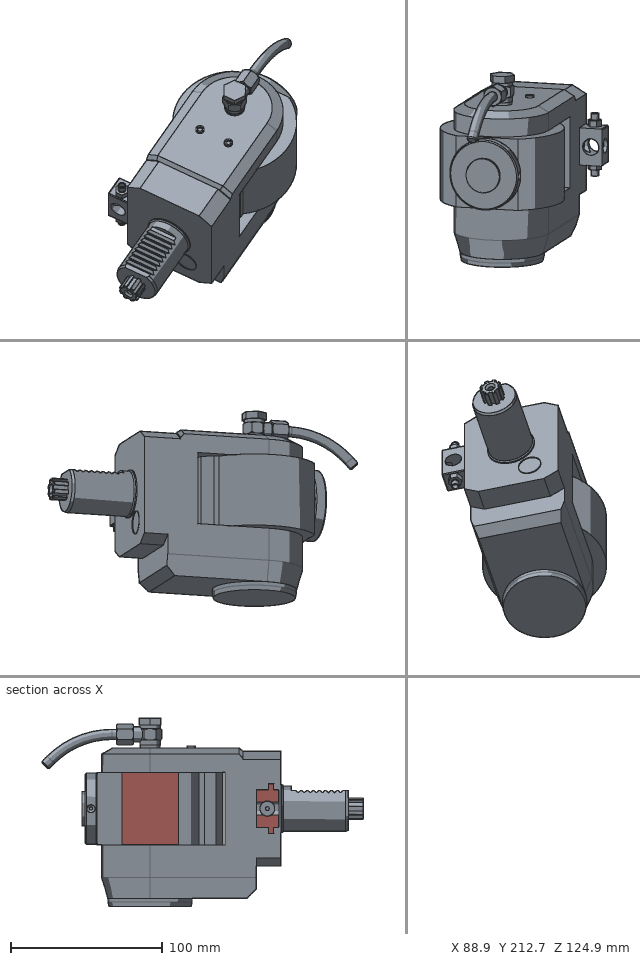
import cadquery as cq
import math


half_width = 32.1
top_z = 40.2
top_flat_half_width = 24.9
top_bevel_z = 36.2
taper_start_z = -45.7
bottom_z = -59.3
bottom_half_width = 28.0
step_start_y = -59.0
step_end_y = -61.5
lower_front_y = -70.5
lower_front_chamfer = 6.2

front_y = -86.5
block_half_height = 38.0
block_bevel_z = 32.5
block_flat_half_width = 22.5
step_lip_z = 33.4
step_lip_flat_half_width = 24.0

plug_x = 12.5
plug_z = -21.7
plug_radius = 7.7
plug_depth = 0.6

slot_half_height = 24.0
slot_front_y = -49.5
carrier_radius = 41.0
carrier_rear_y = 35.0
carrier_edge_y = -32.5
carrier_shoulder_y = -36.0
carrier_bend_y = -43.5
carrier_bend_half_width = 20.2
carrier_nose_y = -48.3
carrier_nose_half_width = 8.5

flange_radius = 23.6
flange_rear_y = 43.0
flange_chamfer = 0.9
hub_radius = 11.5
hub_rear_y = 45.0
flange_hole_y = 39.1
flange_hole_radius = 2.8
flange_hole_bottom_radius = 1.0

cover_radius = 27.9
cover_lower_radius = 27.2
cover_edge_z = -61.9
cover_bottom_z = -64.9

shank_radius = 15.0
shank_end_y = -131.2
shank_chamfer_length = 2.0
shank_end_radius = 14.5
collar_radius = 16.0
collar_straight = 0.9
collar_length = 1.7
flat_z = 12.1
flat_start_y = -93.5
tooth_count = 8
tooth_row_length = 28.0
tooth_pitch = tooth_row_length / (tooth_count - 1)
tooth_depth = 1.5
tooth_half_width = 1.7
first_tooth_y = -98.0

spline_end_y = -141.2
spline_tip_radius = 7.2
spline_root_radius = 5.5
spline_count = 8
spline_groove_width = 3.0
spline_chamfer = 0.5
bore_radius = 2.0
bore_mouth_radius = 3.5
bore_depth = 4.3

coolant_left_x = -47.9
coolant_rear_y = -70.5
coolant_front_y = -85.3
coolant_half_height = 12.5
coolant_chamfer = 0.6
coolant_hole_x = -40.0
coolant_hole_radius = 5.5
side_port_y = -77.6
side_port_radius = 4.9
feed_hole_radius = 1.3
feed_hole_depth = 1.3
nipple_y = -80.2
nipple_nut_corner_radius = 4.7
nipple_nut_height = 4.0
nipple_radius = 2.5
nipple_end_z = 21.0
nipple_bore_radius = 2.0
nipple_bore_depth = 4.3

post_foot_radius = 6.5
post_radius = 6.8
post_ring_z = 42.1
elbow_bottom_z = 45.3
elbow_top_z = 53.0
elbow_corner_radius = 7.9
cap_bottom_z = 55.3
cap_top_z = 60.0
cap_corner_radius = 8.3
hose_z = 49.1
elbow_neck_radius = 5.0
hose_nut_start_y = 10.8
hose_nut_end_y = 22.3
hose_nut_corner_radius = 7.0
hose_radius = 3.5
hose_bend_start_y = 25.0
hose_bend_radius = 57.5
hose_bend_angle = math.radians(45)
hose_tip_length = 5.5
hose_tip_chamfer = 0.79
nut_corner_bevel = 0.95

screw_x = 10.8
screw_y = -27.2
screw_radius = 2.8
screw_height = 1.3
screw_socket_corner_radius = 2.0


def plane_along_y(y, x=0, z=0):
    """Workplane across the Y axis; extruding from it goes toward -Y."""
    return cq.Workplane("XZ", origin=(x, y, z))


def cylinder_along_y(radius, rear_y, front_y, x=0, z=0):
    return plane_along_y(rear_y, x, z).circle(radius).extrude(rear_y - front_y)


def cylinder_along_z(radius, low_z, high_z, x=0, y=0):
    return cq.Workplane("XY", origin=(x, y, low_z)).circle(radius).extrude(high_z - low_z)


def hexagon(corner_radius, first_corner_angle):
    angles = [math.radians(first_corner_angle + 60 * i) for i in range(6)]
    return [(corner_radius * math.cos(a), corner_radius * math.sin(a)) for a in angles]


def corner_bevel_cutter(corner_radius, length):
    """Bevelled cylinder that trims the corners of a hexagonal nut at both ends."""
    return cq.Workplane("XY").circle(corner_radius).extrude(length).edges().chamfer(nut_corner_bevel)


def arch_section(y, flat_half_width, bevel_z, crest_z):
    """Upper half of a cross-section, from z = 0 to a bevelled crest."""
    points = [
        (-half_width, 0),
        (-half_width, bevel_z),
        (-flat_half_width, crest_z),
        (flat_half_width, crest_z),
        (half_width, bevel_z),
        (half_width, 0),
    ]
    return plane_along_y(y).polyline(points).close()


def make_housing():
    rear = (
        cq.Workplane("XZ")
        .polyline([
            (0, top_z),
            (top_flat_half_width, top_z),
            (half_width, top_bevel_z),
            (half_width, taper_start_z),
            (bottom_half_width, bottom_z),
            (0, bottom_z),
        ])
        .close()
        .revolve(360, (0, 0, 0), (0, 1, 0))
    )
    upper = arch_section(0, top_flat_half_width, top_bevel_z, top_z).extrude(-step_start_y)
    step_sections = [
        arch_section(step_start_y, top_flat_half_width, top_bevel_z, top_z).wire().val(),
        arch_section(step_end_y, step_lip_flat_half_width, step_lip_z, block_half_height).wire().val(),
    ]
    step = cq.Workplane(cq.Solid.makeLoft(step_sections, True))
    lower = (
        plane_along_y(0)
        .polyline([
            (-half_width, 0),
            (half_width, 0),
            (half_width, taper_start_z),
            (bottom_half_width, bottom_z),
            (-bottom_half_width, bottom_z),
            (-half_width, taper_start_z),
        ])
        .close()
        .extrude(-lower_front_y)
        .faces("<Z").edges("<Y").chamfer(lower_front_chamfer)
    )
    block_half = arch_section(step_end_y, block_flat_half_width, block_bevel_z, block_half_height)
    block_upper = block_half.extrude(step_end_y - front_y)
    block = block_upper.union(block_upper.mirror("XY"))
    plug = cylinder_along_y(plug_radius, front_y + plug_depth, front_y, plug_x, plug_z)
    return rear.union(upper).union(step).union(lower).union(block).cut(plug)


def cut_carrier_slot(housing):
    slot_length = half_width - slot_front_y
    slot = cq.Workplane("XY").box(2 * half_width, slot_length, 2 * slot_half_height).translate(
        (0, slot_front_y + slot_length / 2, 0)
    )
    return housing.cut(slot)


def cut_feed_hole(housing):
    """Small feed hole in the housing side, at the bottom of the coolant block's side port."""
    feed_hole = (
        cq.Workplane("YZ", origin=(-half_width, side_port_y, 0))
        .circle(feed_hole_radius)
        .extrude(feed_hole_depth)
    )
    return housing.cut(feed_hole)


def make_carrier():
    rear_x = math.sqrt(carrier_radius**2 - carrier_rear_y**2)
    edge_x = math.sqrt(carrier_radius**2 - carrier_edge_y**2)
    carrier = (
        cq.Workplane("XY", origin=(0, 0, -slot_half_height))
        .moveTo(-rear_x, carrier_rear_y)
        .lineTo(rear_x, carrier_rear_y)
        .threePointArc((carrier_radius, 0), (edge_x, carrier_edge_y))
        .lineTo(edge_x, carrier_shoulder_y)
        .lineTo(carrier_bend_half_width, carrier_bend_y)
        .lineTo(carrier_nose_half_width, carrier_nose_y)
        .lineTo(-carrier_nose_half_width, carrier_nose_y)
        .lineTo(-carrier_bend_half_width, carrier_bend_y)
        .lineTo(-edge_x, carrier_shoulder_y)
        .lineTo(-edge_x, carrier_edge_y)
        .threePointArc((-carrier_radius, 0), (-rear_x, carrier_rear_y))
        .close()
        .extrude(2 * slot_half_height)
    )
    flange = cylinder_along_y(flange_radius, flange_rear_y, carrier_rear_y).edges().chamfer(flange_chamfer)
    hub = cylinder_along_y(hub_radius, hub_rear_y, flange_rear_y)
    flange_hole = cq.Workplane(
        cq.Solid.makeCone(
            flange_hole_radius,
            flange_hole_bottom_radius,
            flange_hole_radius - flange_hole_bottom_radius,
            pnt=cq.Vector(-flange_radius, flange_hole_y, 0),
            dir=cq.Vector(1, 0, 0),
        )
    )
    return carrier.union(flange).union(hub).cut(flange_hole)


def make_cover():
    return (
        cq.Workplane("XZ")
        .polyline([
            (0, bottom_z),
            (cover_radius, bottom_z),
            (cover_radius, cover_edge_z),
            (cover_lower_radius, cover_bottom_z),
            (0, cover_bottom_z),
        ])
        .close()
        .revolve(360, (0, 0, 0), (0, 1, 0))
    )


def make_shank():
    shank = (
        cq.Workplane("XY")
        .polyline([
            (0, front_y),
            (collar_radius, front_y),
            (collar_radius, front_y - collar_straight),
            (shank_radius, front_y - collar_length),
            (shank_radius, shank_end_y + shank_chamfer_length),
            (shank_end_radius, shank_end_y),
            (0, shank_end_y),
        ])
        .close()
        .revolve(360, (0, 0, 0), (0, 1, 0))
    )
    flat_cutter = (
        cq.Workplane("YZ", origin=(-shank_radius, 0, 0))
        .moveTo(flat_start_y, shank_radius)
        .lineTo(flat_start_y, flat_z)
    )
    for i in range(tooth_count):
        tooth_y = first_tooth_y - i * tooth_pitch
        flat_cutter = (
            flat_cutter
            .lineTo(tooth_y + tooth_half_width, flat_z)
            .lineTo(tooth_y, flat_z - tooth_depth)
            .lineTo(tooth_y - tooth_half_width, flat_z)
        )
    flat_cutter = (
        flat_cutter
        .lineTo(shank_end_y, flat_z)
        .lineTo(shank_end_y, shank_radius)
        .close()
        .extrude(2 * shank_radius)
    )
    return shank.cut(flat_cutter)


def make_spline():
    spline = (
        cylinder_along_y(spline_tip_radius, shank_end_y, spline_end_y)
        .faces("<Y").chamfer(spline_chamfer)
    )
    length = shank_end_y - spline_end_y
    groove = plane_along_y(shank_end_y, z=spline_root_radius + spline_tip_radius / 2).rect(
        spline_groove_width, spline_tip_radius
    ).extrude(length)
    for i in range(spline_count):
        spline = spline.cut(groove.rotate((0, 0, 0), (0, 1, 0), 360 / spline_count * i))
    mouth_depth = bore_mouth_radius - bore_radius
    bore = (
        cq.Workplane("XY")
        .polyline([
            (0, spline_end_y),
            (bore_mouth_radius, spline_end_y),
            (bore_radius, spline_end_y + mouth_depth),
            (bore_radius, spline_end_y + bore_depth),
            (0, spline_end_y + bore_depth),
        ])
        .close()
        .revolve(360, (0, 0, 0), (0, 1, 0))
    )
    return spline.cut(bore)


def make_nipple():
    """Upper hexagonal nut with its hollow nipple."""
    nut = (
        cq.Workplane("XY", origin=(coolant_hole_x, nipple_y, coolant_half_height))
        .polyline(hexagon(nipple_nut_corner_radius, 0))
        .close()
        .extrude(nipple_nut_height)
    )
    tube = cylinder_along_z(nipple_radius, coolant_half_height, nipple_end_z, coolant_hole_x, nipple_y)
    bore = cylinder_along_z(
        nipple_bore_radius, nipple_end_z - nipple_bore_depth, nipple_end_z, coolant_hole_x, nipple_y
    )
    return nut.union(tube).cut(bore)


def make_coolant_block():
    width = -half_width - coolant_left_x
    length = coolant_rear_y - coolant_front_y
    block = (
        cq.Workplane("XY")
        .box(width, length, 2 * coolant_half_height)
        .translate((-half_width - width / 2, coolant_rear_y - length / 2, 0))
        .edges("|X and <Y or |Z and <X and <Y or |Y and <X").chamfer(coolant_chamfer)
    )
    through_hole = cylinder_along_y(coolant_hole_radius, coolant_rear_y, coolant_front_y, coolant_hole_x)
    side_port = (
        cq.Workplane("YZ", origin=(coolant_left_x, side_port_y, 0))
        .circle(side_port_radius)
        .extrude(width)
    )
    nipple = make_nipple()
    return block.cut(through_hole).cut(side_port).union(nipple).union(nipple.mirror("XY"))


def make_elbow():
    foot = cylinder_along_z(post_foot_radius, top_z, cap_bottom_z)
    ring = cylinder_along_z(post_radius, post_ring_z, elbow_bottom_z)
    collar = cylinder_along_z(post_radius, elbow_top_z, cap_bottom_z)
    elbow_height = elbow_top_z - elbow_bottom_z
    elbow = (
        cq.Workplane("XY")
        .polyline(hexagon(elbow_corner_radius, 30))
        .close()
        .extrude(elbow_height)
        .intersect(corner_bevel_cutter(elbow_corner_radius, elbow_height))
        .translate((0, 0, elbow_bottom_z))
    )
    cap = (
        cq.Workplane("XY", origin=(0, 0, cap_bottom_z))
        .polyline(hexagon(cap_corner_radius, 0))
        .close()
        .extrude(cap_top_z - cap_bottom_z)
    )
    neck = cylinder_along_y(elbow_neck_radius, hose_nut_start_y, 0, z=hose_z)
    nut_length = hose_nut_end_y - hose_nut_start_y
    nut = (
        cq.Workplane("XY")
        .polyline(hexagon(hose_nut_corner_radius, 30))
        .close()
        .extrude(nut_length)
        .intersect(corner_bevel_cutter(hose_nut_corner_radius, nut_length))
        .rotate((0, 0, 0), (1, 0, 0), 90)
        .translate((0, hose_nut_end_y, hose_z))
    )
    return foot.union(ring).union(collar).union(elbow).union(cap).union(neck).union(nut)


def make_hose():
    def bend_point(angle):
        return (
            hose_bend_start_y + hose_bend_radius * math.sin(angle),
            hose_z - hose_bend_radius * (1 - math.cos(angle)),
        )

    bend_end = bend_point(hose_bend_angle)
    tip = (
        bend_end[0] + hose_tip_length * math.cos(hose_bend_angle),
        bend_end[1] - hose_tip_length * math.sin(hose_bend_angle),
    )
    path = (
        cq.Workplane("YZ")
        .moveTo(hose_nut_end_y, hose_z)
        .lineTo(hose_bend_start_y, hose_z)
        .threePointArc(bend_point(hose_bend_angle / 2), bend_end)
        .lineTo(*tip)
    )
    hose = plane_along_y(hose_nut_end_y, z=hose_z).circle(hose_radius).sweep(path)
    return hose.faces(">Y").chamfer(hose_tip_chamfer)


def make_screw(x):
    head = cylinder_along_z(screw_radius, top_z, top_z + screw_height, x, screw_y)
    socket = (
        cq.Workplane("XY", origin=(x, screw_y, top_z))
        .polyline(hexagon(screw_socket_corner_radius, 0))
        .close()
        .extrude(screw_height)
    )
    return head.cut(socket)


result = cut_feed_hole(cut_carrier_slot(make_housing()))
for piece in (
    make_carrier(),
    make_cover(),
    make_shank(),
    make_spline(),
    make_coolant_block(),
    make_elbow(),
    make_hose(),
    make_screw(-screw_x),
    make_screw(screw_x),
):
    result = result.union(piece)